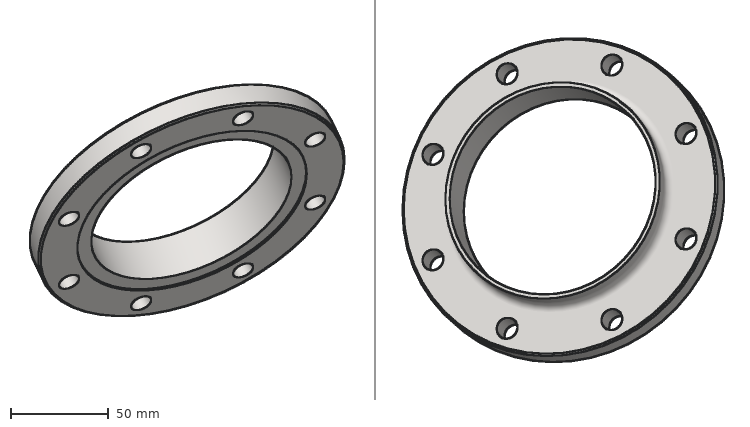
import cadquery as cq

overall_length = 26.0
flange_diameter = 168.0
flange_thickness = 14.0
neck_diameter = 114.3
bore_diameter = 109.7

seat_diameter = 125.7
seat_depth = 1.0

neck_fillet_radius = 4.0
rim_chamfer = 1.0

bolt_count = 8
bolt_circle_diameter = 146.0
bolt_hole_diameter = 11.0

flange_face_x = overall_length - flange_thickness
bolt_pitch_angle = 360.0 / bolt_count
first_bolt_angle = bolt_pitch_angle / 2


def disc(start_x, length, diameter):
    """Solid cylinder along X, starting at start_x."""
    return cq.Workplane("YZ", origin=(start_x, 0, 0)).circle(diameter / 2).extrude(length)


def make_flange_plate():
    """Flange disc with both rim edges chamfered."""
    plate = disc(flange_face_x, flange_thickness, flange_diameter)
    return plate.faces("<X or >X").edges().chamfer(rim_chamfer)


def add_neck(plate):
    """Weld neck joined to the flange face by a concave fillet."""
    body = plate.union(disc(0, overall_length, neck_diameter))
    root_zone = cq.selectors.BoxSelector(
        (flange_face_x - rim_chamfer / 2, -neck_diameter, -neck_diameter),
        (flange_face_x + rim_chamfer / 2, neck_diameter, neck_diameter),
        boundingbox=True,
    )
    root_edges = body.edges(root_zone).edges(cq.selectors.RadiusNthSelector(0))
    return root_edges.fillet(neck_fillet_radius)


def bolt_holes():
    """Ring of through-hole cutters, straddling the Y and Z axes."""
    return (
        cq.Workplane("YZ", origin=(flange_face_x, 0, 0))
        .polarArray(bolt_circle_diameter / 2, first_bolt_angle, 360, bolt_count)
        .circle(bolt_hole_diameter / 2)
        .extrude(flange_thickness)
    )


flange = add_neck(make_flange_plate())
flange = flange.cut(disc(0, overall_length, bore_diameter))
flange = flange.cut(disc(overall_length - seat_depth, seat_depth, seat_diameter))
result = flange.cut(bolt_holes())